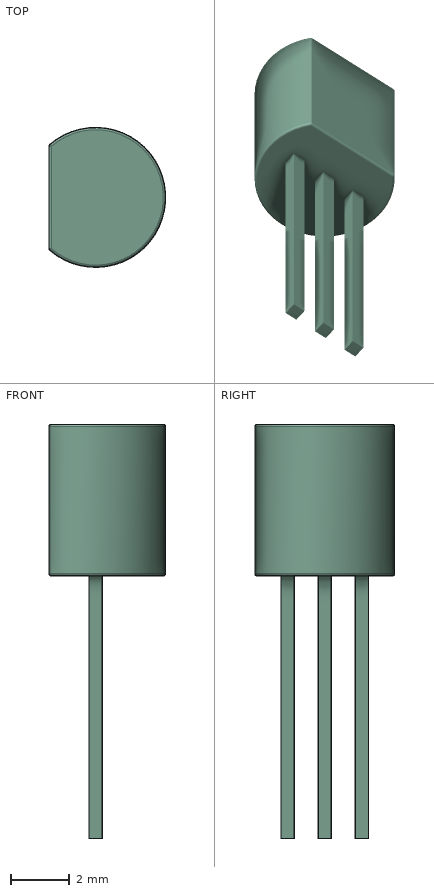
import cadquery as cq

body_diameter = 4.8
body_height = 5.2
flat_offset = 1.6
edge_radius = 0.08

lead_count = 3
lead_pitch = 1.27
lead_width = 0.46
lead_length = 9.0


def make_body():
    radius = body_diameter / 2
    cylinder = cq.Workplane("XY").circle(radius).extrude(body_height)
    kept_side = (
        cq.Workplane("XY")
        .box(flat_offset + radius, body_diameter, body_height, centered=(False, True, False))
        .translate((-flat_offset, 0, 0))
    )
    return cylinder.intersect(kept_side).edges().fillet(edge_radius)


def make_lead(y_position):
    return (
        cq.Workplane("XY")
        .center(0, y_position)
        .rect(lead_width, lead_width)
        .extrude(-lead_length)
    )


result = make_body()
for index in range(lead_count):
    lead_y = (index - (lead_count - 1) / 2) * lead_pitch
    result = result.union(make_lead(lead_y))